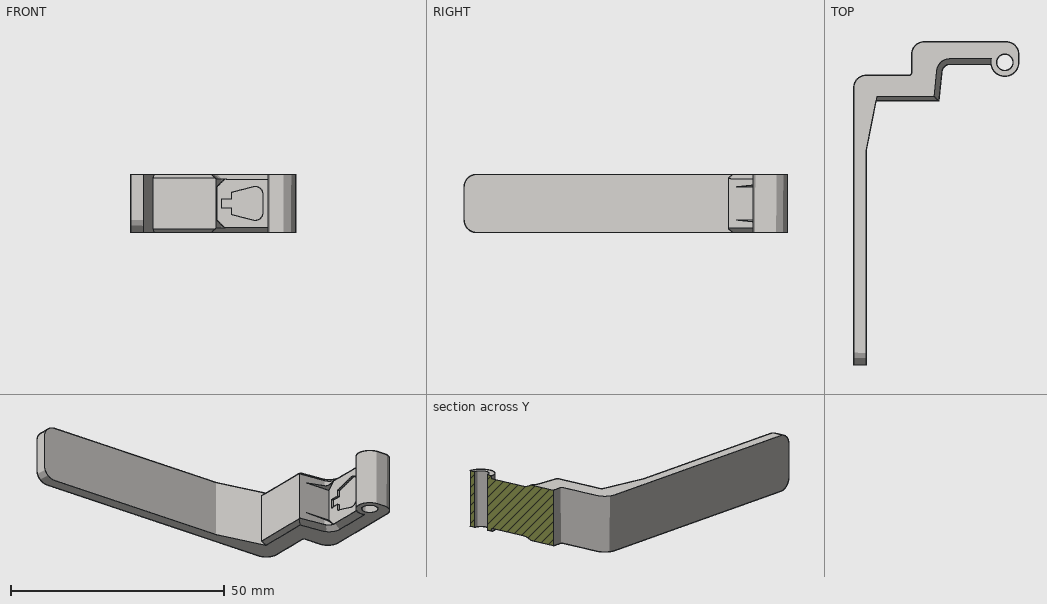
import cadquery as cq
import math

LENGTH_X = 38.8
LENGTH_Y = 75.95
HEIGHT = 13.7
CORNER_RADIUS = 3.0

ARM_THICKNESS = 3.0
BRACE_WIDTH = 5.5
BRACE_END_Y = -25.5

STEP_X = 13.6
STEP_Y = -7.85
STEP_INNER_RADIUS = 0.5
LOWER_FACE_Y = -13.9
UPPER_FACE_Y = -5.4
WALL_BOTTOM_X = 20.05
WALL_TOP_X = 20.95

LOWER_BEVEL = 1.08
WALL_BEVEL_BOTTOM = 1.15
WALL_BEVEL_TOP = 1.2
UPPER_BEVEL = 1.4
BEVEL_ANGLE = 50.0
INNER_CORNER_RADIUS = 1.75

EYE_RADIUS = 3.3
EYE_HOLE_RADIUS = 1.9
EYE_X = LENGTH_X - EYE_RADIUS
EYE_Y = -4.85

CLEARANCE_X = 20.25
CLEARANCE_CORNER = 2.95

RECESS_DEPTH = 0.5
NECK_START_X = 21.3
NECK_HALF_WIDTH = 1.07
SHOULDER_X = 23.65
SHOULDER_HALF_WIDTH = 2.6
BASE_X = 31.05
BASE_HALF_WIDTH = 4.5
BASE_CORNER_RADIUS = 1.8

OVERSHOOT = 5.0
BEVEL_MARGIN = 0.6


def make_arm():
    """Straight arm with its brace and rounded free end."""
    outline = [
        (0, -LENGTH_Y),
        (ARM_THICKNESS, -LENGTH_Y),
        (ARM_THICKNESS, BRACE_END_Y),
        (BRACE_WIDTH, LOWER_FACE_Y + LOWER_BEVEL),
        (BRACE_WIDTH, STEP_Y),
        (0, STEP_Y),
    ]
    arm = cq.Workplane("XY").polyline(outline).close().extrude(HEIGHT)
    arm = arm.edges("|Z and <X and >Y").fillet(CORNER_RADIUS)
    return arm.edges("|X and <Y").fillet(CORNER_RADIUS)


def make_hook():
    """Stepped hook before bevelling, ending at the middle of the eye."""
    outline = [
        (0, STEP_Y),
        (STEP_X, STEP_Y),
        (STEP_X, 0),
        (LENGTH_X, 0),
        (LENGTH_X, EYE_Y),
        (EYE_X, EYE_Y),
        (EYE_X, UPPER_FACE_Y),
        (WALL_TOP_X, UPPER_FACE_Y),
        (WALL_BOTTOM_X, LOWER_FACE_Y),
        (0, LOWER_FACE_Y),
    ]
    hook = cq.Workplane("XY").polyline(outline).close().extrude(HEIGHT)

    def round_corner(solid, x, y, radius):
        nearest = cq.selectors.NearestToPointSelector((x, y, HEIGHT / 2))
        return solid.edges("|Z").edges(nearest).fillet(radius)

    hook = round_corner(hook, 0, STEP_Y, CORNER_RADIUS)
    hook = round_corner(hook, STEP_X, STEP_Y, STEP_INNER_RADIUS)
    hook = round_corner(hook, STEP_X, 0, CORNER_RADIUS)
    hook = round_corner(hook, LENGTH_X, 0, CORNER_RADIUS)
    return round_corner(hook, WALL_TOP_X, UPPER_FACE_Y, INNER_CORNER_RADIUS)


def make_bevel_cutter():
    """Space in front of the hook on the bottom face, narrowing upwards to leave the bevels."""
    lower_y = LOWER_FACE_Y + LOWER_BEVEL
    upper_y = UPPER_FACE_Y + UPPER_BEVEL
    front_y = LOWER_FACE_Y - OVERSHOOT
    right_x = EYE_X + UPPER_BEVEL
    wall_bottom_x = WALL_BOTTOM_X - WALL_BEVEL_BOTTOM
    wall_top_x = WALL_TOP_X - WALL_BEVEL_TOP
    wall_slope = (wall_top_x - wall_bottom_x) / (upper_y - lower_y)
    wall_front_x = wall_bottom_x + wall_slope * (front_y - lower_y)
    depth = (UPPER_BEVEL + BEVEL_MARGIN) / math.tan(math.radians(BEVEL_ANGLE))

    below_lower_face = [
        (-OVERSHOOT, front_y),
        (right_x, front_y),
        (right_x, lower_y),
        (-OVERSHOOT, lower_y),
        (-OVERSHOOT, front_y),
    ]
    lower = cq.Sketch().polygon(below_lower_face)
    lower_cutter = cq.Workplane("XY").placeSketch(lower).extrude(depth, taper=BEVEL_ANGLE)

    beside_wall = [
        (wall_front_x, front_y),
        (right_x, front_y),
        (right_x, upper_y),
        (wall_top_x, upper_y),
        (wall_front_x, front_y),
    ]
    inner_corner = cq.selectors.NearestToPointSelector((wall_top_x, upper_y, 0))
    upper = cq.Sketch().polygon(beside_wall).vertices(inner_corner)
    upper = upper.fillet(INNER_CORNER_RADIUS + UPPER_BEVEL)
    upper_cutter = cq.Workplane("XY").placeSketch(upper).extrude(depth, taper=BEVEL_ANGLE)
    return lower_cutter.union(upper_cutter)


def make_clearance():
    """Space with cut-off corners in front of the upper face that trims the wall and its corner."""
    outline = [
        (EYE_X, 0),
        (CLEARANCE_X + CLEARANCE_CORNER, 0),
        (CLEARANCE_X, CLEARANCE_CORNER),
        (CLEARANCE_X, HEIGHT - CLEARANCE_CORNER),
        (CLEARANCE_X + CLEARANCE_CORNER, HEIGHT),
        (EYE_X, HEIGHT),
    ]
    front = cq.Workplane("XZ", origin=(0, UPPER_FACE_Y, 0))
    return front.polyline(outline).close().extrude(UPPER_FACE_Y - LOWER_FACE_Y)


def make_recess():
    """Bottle shape lying along X, sunk into the upper face."""
    half_outline = [
        (NECK_START_X, NECK_HALF_WIDTH),
        (SHOULDER_X, NECK_HALF_WIDTH),
        (SHOULDER_X, SHOULDER_HALF_WIDTH),
        (BASE_X, BASE_HALF_WIDTH),
    ]
    mirrored = [(x, -z) for x, z in reversed(half_outline)]
    floor = cq.Workplane("XZ", origin=(0, UPPER_FACE_Y + RECESS_DEPTH, HEIGHT / 2))
    recess = floor.polyline(half_outline + mirrored).close().extrude(RECESS_DEPTH)
    return recess.edges("|Y and >X").fillet(BASE_CORNER_RADIUS)


bottom_bevels = make_bevel_cutter()
top_bevels = bottom_bevels.mirror("XY", (0, 0, HEIGHT / 2))

hook = make_hook().cut(top_bevels).cut(bottom_bevels)
hook = hook.cut(make_clearance()).cut(make_recess())

eye = cq.Workplane("XY").center(EYE_X, EYE_Y).circle(EYE_RADIUS).extrude(HEIGHT)
eye_hole = cq.Workplane("XY").center(EYE_X, EYE_Y).circle(EYE_HOLE_RADIUS).extrude(HEIGHT)

result = hook.union(make_arm()).union(eye).cut(eye_hole)